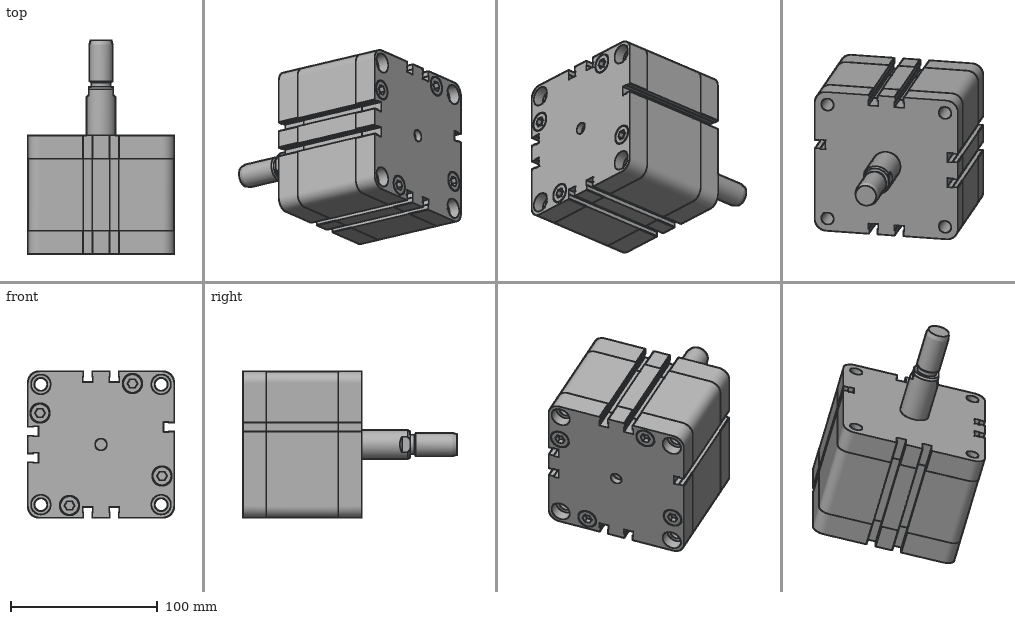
import cadquery as cq
import math

body_side = 100.0
tube_inset = 0.1
body_length = 81.0
cap_length = 15.9
cap_corner_radius = 8.0
tube_corner_radius = 7.5
half_side = body_side / 2

slot_offset = 9.0
single_slot_offset = 12.0
slot_neck_width = 5.8
slot_neck_depth = 3.8
slot_wide_width = 6.7
slot_depth = 7.2
mouth_chamfer = 0.5
cap_slot_extra_depth = 0.3

mount_offset = 41.0
mount_hole_diameter = 8.6
mount_bore_diameter = 13.5
mount_bore_depth = 8.0

screw_long_offset = 41.6
screw_short_offset = 21.5
screw_bore_diameter = 13.5
screw_head_diameter = 12.5
screw_gap_depth = 5.0
hex_across_flats = 6.0
hex_depth = 4.0

centre_hole_diameter = 8.0
centre_hole_depth = 4.7

rod_tip = 146
rod_radius = 20.0 / 2
rod_shoulder = 114.0
rod_chamfer_length = 1.8
rod_chamfer_height = 1.0
groove_radius = 13.5 / 2
thread_start = 117.0
thread_radius = 16 / 2
thread_start_chamfer = 1.0
tip_chamfer_length = 3.2
tip_chamfer_height = 0.9
flats_distance = 17.0
flats_length = 5.5


def along_y(start):
    """Sketch plane across the Y axis; its X is world X, its Y is world Z, extruding toward +Y."""
    return cq.Workplane(cq.Plane(origin=(0, start, 0), xDir=(1, 0, 0), normal=(0, -1, 0)))


def square_prism(start, length, side, corner_radius):
    prism = along_y(start).rect(side, side).extrude(-length)
    return prism.edges("|Y").fillet(corner_radius)


def slot_cutter(start, length, offset, side_angle, depth, chamfer):
    """T slot in the +Z face at X = offset, turned about Y to the chosen side."""
    neck = slot_neck_width / 2
    wide = slot_wide_width / 2
    half_outline = [
        (neck + chamfer, half_side),
        (neck, half_side - chamfer),
        (neck, half_side - slot_neck_depth),
        (wide, half_side - slot_neck_depth),
        (wide, half_side - depth),
    ]
    if chamfer == 0:
        half_outline = half_outline[1:]
    outline = half_outline + [(-x, z) for x, z in reversed(half_outline)]
    outline = [(offset + x, z) for x, z in outline]
    cutter = along_y(start).polyline(outline).close().extrude(-length)
    return cutter.rotate((0, 0, 0), (0, 1, 0), side_angle)


def cut_slots(section, start, length, depth, chamfer):
    slots = [(offset, angle) for angle in (0, 180, -90) for offset in (-slot_offset, slot_offset)]
    slots.append((-single_slot_offset, 90))
    for offset, angle in slots:
        section = section.cut(slot_cutter(start, length, offset, angle, depth, chamfer))
    return section


def make_cap(start):
    cap = square_prism(start, cap_length, body_side, cap_corner_radius)
    return cut_slots(cap, start, cap_length, slot_depth + cap_slot_extra_depth, mouth_chamfer)


def make_tube():
    length = body_length - 2 * cap_length
    tube = square_prism(cap_length, length, body_side - 2 * tube_inset, tube_corner_radius)
    return cut_slots(tube, cap_length, length, slot_depth, 0)


def cut_mounting_holes(body):
    corners = [(x, z) for x in (-mount_offset, mount_offset) for z in (-mount_offset, mount_offset)]
    holes = along_y(0).pushPoints(corners).circle(mount_hole_diameter / 2).extrude(-body_length)
    bores = along_y(0).pushPoints(corners).circle(mount_bore_diameter / 2).extrude(-mount_bore_depth)
    return body.cut(holes).cut(bores)


def cut_screws(body):
    """Leave each screw head standing in its bore by cutting only the gap and the hex socket."""
    centres = [
        (screw_short_offset, screw_long_offset),
        (screw_long_offset, -screw_short_offset),
        (-screw_short_offset, -screw_long_offset),
        (-screw_long_offset, screw_short_offset),
    ]
    hex_diameter = hex_across_flats / math.cos(math.pi / 6)
    gaps = (
        along_y(0).pushPoints(centres).circle(screw_bore_diameter / 2)
        .circle(screw_head_diameter / 2).extrude(-screw_gap_depth)
    )
    sockets = along_y(0).pushPoints(centres).polygon(6, hex_diameter).extrude(-hex_depth)
    return body.cut(gaps).cut(sockets)


def cut_centre_hole(body):
    return body.cut(along_y(0).circle(centre_hole_diameter / 2).extrude(-centre_hole_depth))


def make_rod():
    root = body_length - cap_length
    profile = [
        (0, root),
        (rod_radius, root),
        (rod_radius, rod_shoulder - rod_chamfer_length),
        (rod_radius - rod_chamfer_height, rod_shoulder),
        (groove_radius, rod_shoulder),
        (groove_radius, thread_start),
        (thread_radius, thread_start + thread_start_chamfer),
        (thread_radius, rod_tip - tip_chamfer_length),
        (thread_radius - tip_chamfer_height, rod_tip),
        (0, rod_tip),
    ]
    rod = cq.Workplane("XY").polyline(profile).close().revolve(360, (0, 0, 0), (0, 1, 0))
    return cut_wrench_flats(rod)


def cut_wrench_flats(rod):
    """Two flats facing -X and +X that run out of the rod at 45 degrees."""
    flat = flats_distance / 2
    flat_end = rod_shoulder - flats_length
    runout = rod_radius - flat
    outline = [
        (flat, rod_shoulder),
        (flat, flat_end),
        (rod_radius, flat_end - runout),
        (rod_radius, rod_shoulder),
    ]
    cutter = cq.Workplane("XY").polyline(outline).close().extrude(rod_radius, both=True)
    return rod.cut(cutter).cut(cutter.mirror("YZ"))


body = make_tube().union(make_cap(0)).union(make_cap(body_length - cap_length))
body = cut_mounting_holes(body)
body = cut_screws(body)
body = cut_centre_hole(body)

result = body.union(make_rod())